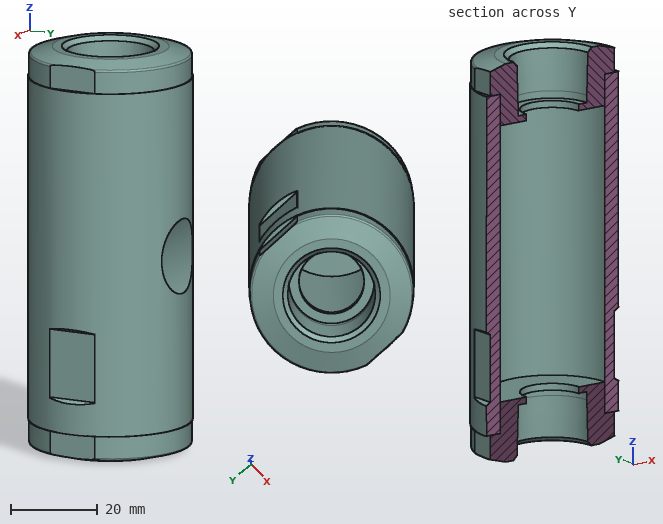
import cadquery as cq

total_length = 95.0
housing_diameter = 38.0
cap_diameter = 37.6
cap_head_length = 7.0
across_flats = 35.7

crown_face_diameter = 26.9
crown_drop = 1.4
rim_width = 0.4
rim_height = 0.5

mouth_diameter = 22.4
port_top_diameter = 20.1
port_floor_diameter = 19.6
mouth_depth = 1.1
taper_end_depth = 11.2
port_depth = 13.0
through_diameter = 15.0

spigot_diameter = 29.8
spigot_length = 7.6

flat_width = 11.9
flat_bottom_z = 15.0
flat_length = 16.1
flat_end_flare = 0.8

notch_depth = 1.4
notch_length = 17.6
notch_center_z = total_length / 2


def make_housing():
    """Open tube with two wrench flats and one shallow side notch."""
    tube_length = total_length - 2 * cap_head_length
    tube = (
        cq.Workplane("XY", origin=(0, 0, cap_head_length))
        .circle(housing_diameter / 2)
        .circle(spigot_diameter / 2)
        .extrude(tube_length)
    )
    for side in (-1, 1):
        tube = tube.cut(wrench_flat_cutter(side))
    return tube.cut(notch_cutter())


def wrench_flat_cutter(side):
    """Pocket down to one flat, with ends flaring toward the outer surface."""
    flat_x = side * across_flats / 2
    outer_x = side * housing_diameter / 2
    flat_top_z = flat_bottom_z + flat_length
    return (
        cq.Workplane("XZ")
        .moveTo(flat_x, flat_bottom_z)
        .lineTo(outer_x, flat_bottom_z - flat_end_flare)
        .lineTo(outer_x, flat_top_z + flat_end_flare)
        .lineTo(flat_x, flat_top_z)
        .close()
        .extrude(flat_width / 2, both=True)
    )


def notch_cutter():
    """Cross cylinder along X whose arc dips into the +Y surface."""
    half_length = notch_length / 2
    surface_y = housing_diameter / 2
    return (
        cq.Workplane("YZ")
        .moveTo(surface_y, notch_center_z - half_length)
        .threePointArc(
            (surface_y - notch_depth, notch_center_z),
            (surface_y, notch_center_z + half_length),
        )
        .close()
        .extrude(housing_diameter / 2, both=True)
    )


def make_top_cap():
    """Turned end cap with its crown at the top and two flats on its head."""
    cap_radius = cap_diameter / 2
    rim_z = total_length - crown_drop
    seat_z = total_length - cap_head_length
    spigot_end_z = seat_z - spigot_length
    floor_z = total_length - port_depth
    cap = (
        cq.Workplane("XZ")
        .moveTo(through_diameter / 2, spigot_end_z)
        .lineTo(spigot_diameter / 2, spigot_end_z)
        .lineTo(spigot_diameter / 2, seat_z)
        .lineTo(cap_radius, seat_z)
        .lineTo(cap_radius, rim_z - rim_height)
        .tangentArcPoint((cap_radius - rim_width, rim_z), relative=False)
        .lineTo(crown_face_diameter / 2, total_length)
        .lineTo(mouth_diameter / 2, total_length)
        .lineTo(port_top_diameter / 2, total_length - mouth_depth)
        .lineTo(port_floor_diameter / 2, total_length - taper_end_depth)
        .lineTo(port_floor_diameter / 2, floor_z)
        .lineTo(through_diameter / 2, floor_z)
        .close()
        .revolve(360, (0, 0, 0), (0, 1, 0))
    )
    flats_envelope = cq.Workplane("XY").box(
        across_flats, housing_diameter, total_length, centered=(True, True, False)
    )
    return cap.intersect(flats_envelope)


housing = make_housing()
top_cap = make_top_cap()
bottom_cap = top_cap.mirror("XY", (0, 0, total_length / 2))

result = cq.Compound.makeCompound([housing.val(), top_cap.val(), bottom_cap.val()])